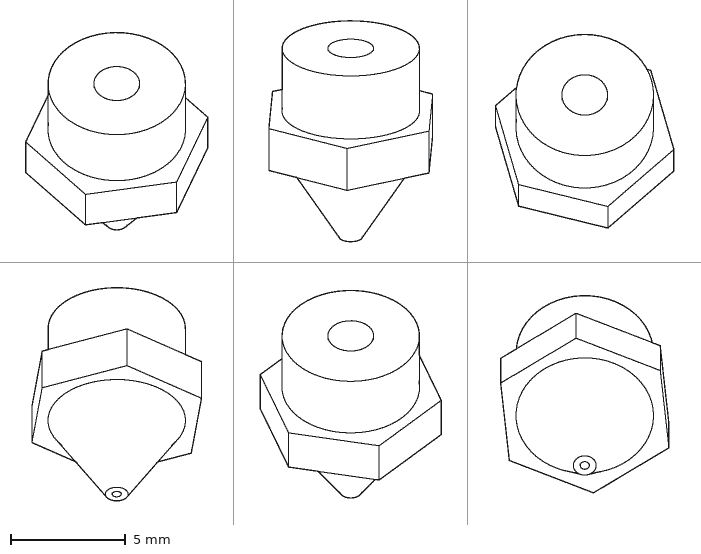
import cadquery as cq
import math

total_height = 9.0
shank_height = total_height / 3
hex_height = 2.0
cone_height = total_height - shank_height - hex_height

shank_diameter = 6.0
across_flats = 7.0
across_corners = across_flats / math.cos(math.pi / 6)
tip_diameter = 1.0

bore_diameter = 2.0
orifice_diameter = 0.4
orifice_length = 1.0
taper_height = 1.14


def make_body():
    """Conical tip, hexagonal collar with corners on X, and round shank."""
    cone = (
        cq.Workplane("XY")
        .circle(tip_diameter / 2)
        .workplane(offset=cone_height)
        .circle(shank_diameter / 2)
        .loft(ruled=True)
    )
    collar = cq.Workplane("XY", origin=(0, 0, cone_height)).polygon(6, across_corners).extrude(hex_height)
    shank = collar.faces(">Z").workplane().circle(shank_diameter / 2).extrude(shank_height)
    return cone.union(shank)


def make_passage():
    """Revolved half profile of the stepped flow passage."""
    taper_top = orifice_length + taper_height
    return (
        cq.Workplane("XZ")
        .moveTo(0, 0)
        .lineTo(orifice_diameter / 2, 0)
        .lineTo(orifice_diameter / 2, orifice_length)
        .lineTo(bore_diameter / 2, taper_top)
        .lineTo(bore_diameter / 2, total_height)
        .lineTo(0, total_height)
        .close()
        .revolve(360, (0, 0, 0), (0, 1, 0))
    )


result = make_body().cut(make_passage())